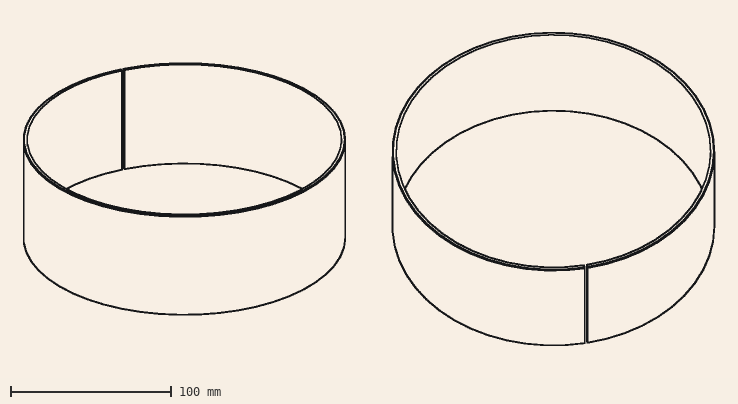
import cadquery as cq

outer_diameter = 200.0
height = 70.0
wall = 2.5
split_angle = 1.0
edge_chamfer = 0.5

outer_radius = outer_diameter / 2
inner_radius = outer_radius - wall
shoulder_radius = outer_radius - edge_chamfer

wall_section = (
    cq.Workplane("XZ")
    .moveTo(-inner_radius, 0)
    .lineTo(-shoulder_radius, 0)
    .lineTo(-outer_radius, edge_chamfer)
    .lineTo(-outer_radius, height - edge_chamfer)
    .lineTo(-shoulder_radius, height)
    .lineTo(-inner_radius, height)
    .close()
)

result = wall_section.revolve(360 - split_angle, (0, 0, 0), (0, 1, 0))